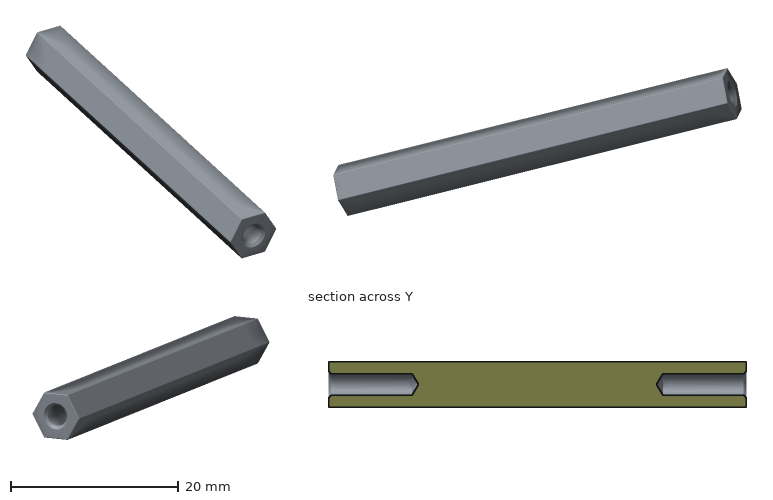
import cadquery as cq
import math

length = 50.0
across_flats = 5.5
edge_radius = 0.1

bore_diameter = 2.5
mouth_diameter = 3.2
countersink_angle = 90.0
bore_depth = 10.0
drill_point_angle = 118.0

across_corners = across_flats / math.cos(math.radians(30))


def cone_height(radius_change, included_angle):
    """Axial length over which a cone changes its radius by the given amount."""
    return radius_change / math.tan(math.radians(included_angle / 2))


def hex_bar():
    """Bar with flats facing up and down and all its edges slightly rounded."""
    bar = cq.Workplane("YZ").polygon(6, across_corners).extrude(length / 2, both=True)
    return bar.edges().fillet(edge_radius)


def left_bore():
    """Countersunk blind bore with a drill point, entering at the -X end."""
    mouth_radius = mouth_diameter / 2
    bore_radius = bore_diameter / 2
    mouth_x = -length / 2
    countersink_x = mouth_x + cone_height(mouth_radius - bore_radius, countersink_angle)
    floor_x = mouth_x + bore_depth
    tip_x = floor_x + cone_height(bore_radius, drill_point_angle)
    half_profile = (
        cq.Workplane("XY")
        .moveTo(mouth_x, 0)
        .lineTo(mouth_x, mouth_radius)
        .lineTo(countersink_x, bore_radius)
        .lineTo(floor_x, bore_radius)
        .lineTo(tip_x, 0)
        .close()
    )
    return half_profile.revolve(360, (0, 0, 0), (1, 0, 0))


bore = left_bore()
result = hex_bar().cut(bore).cut(bore.mirror("YZ"))